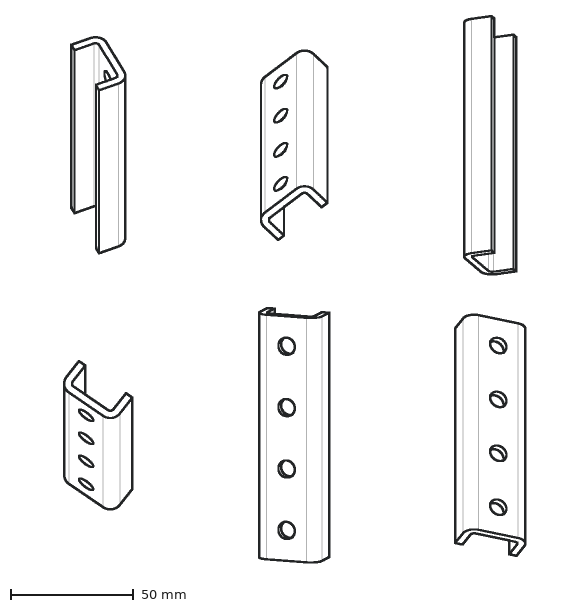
import cadquery as cq

length = 101.6
width = 27.0
depth = 13.5
wall = 3.3
inner_radius = 1.6
outer_radius = inner_radius + wall

hole_count = 4
hole_pitch = 25.5
hole_row_offset = 0.1
hole_diameter = 7.1


def rounded_bar(bar_width, bar_depth, back_radius):
    """Full-length bar with its front face at Y = 0 and its two back edges rounded."""
    bar = cq.Workplane("XY").box(bar_width, bar_depth, length, centered=(True, False, True))
    return bar.edges("|Z and >Y").fillet(back_radius)


def web_holes():
    """Evenly spaced cylinders along Y, centred on the web."""
    return (
        cq.Workplane("XZ", origin=(0, 0, hole_row_offset))
        .rarray(hole_pitch, hole_pitch, 1, hole_count)
        .circle(hole_diameter / 2)
        .extrude(-depth)
    )


outside = rounded_bar(width, depth, outer_radius)
inside = rounded_bar(width - 2 * wall, depth - wall, inner_radius)
result = outside.cut(inside).cut(web_holes())